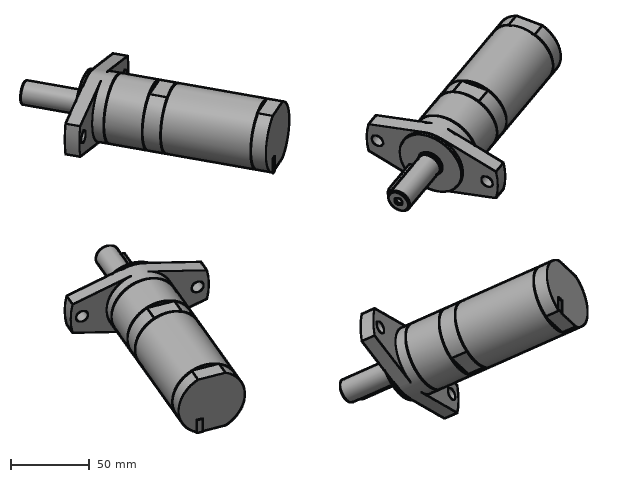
import cadquery as cq
import math

PILOT_START = 41.8
PLATE_START = 44.0
PLATE_END = 54.0
HOUSING_SEAM = 61.5
MIDDLE_FLATS_START = 88.0
MIDDLE_FLATS_END = 99.8
REAR_FLATS_START = 160.5
BODY_END = 171.0
OVERALL_LENGTH = 171.5

BODY_DIAMETER = 46.0
PILOT_DIAMETER = 45.0
ACROSS_FLATS = 41.8
SEAM_WIDTH = 0.5
SEAM_DEPTH = 0.2

PLATE_SPAN = 95.7
PLATE_TAPER_ANGLE = 15.0
BOLT_SPACING = 80.0
BOLT_HOLE_DIAMETER = 8.2

SHAFT_DIAMETER = 16.0
SHAFT_CHAMFER = 0.9
COLLAR_START = 39.8
COLLAR_CONE_END = 40.8
COLLAR_DIAMETER = 17.0
CLEARANCE_DIAMETER = 17.5

KEY_START = 3.8
KEY_LENGTH = 30.0
KEY_WIDTH = 5.0
KEY_TOP = 10.0

CENTRE_HOLE_DIAMETER = 4.0
CENTRE_HOLE_DEPTH = 10.3
COUNTERSINK_DIAMETER = 5.8
DRILL_TIP_ANGLE = 118.0

PAD_WIDTH = 4.1
PAD_CENTRE_Y = -8.4
PAD_TOP_Z = -10.6


def cylinder(start, end, diameter):
    """Round bar along the X axis."""
    return cq.Workplane("YZ", origin=(start, 0, 0)).circle(diameter / 2).extrude(end - start)


def revolve_about_x(profile):
    """Turn an (x, radius) outline about the X axis."""
    return cq.Workplane("XY").polyline(profile).close().revolve(360, (0, 0, 0), (1, 0, 0))


def box(x_range, y_range, z_range):
    """Block given by its limits along each axis."""
    size = [high - low for low, high in (x_range, y_range, z_range)]
    corner = (x_range[0], y_range[0], z_range[0])
    return cq.Workplane("XY").box(*size, centered=False).translate(corner)


def flats(start, end):
    """Material above and below a pair of parallel wrench flats."""
    radius = BODY_DIAMETER / 2
    slab = (ACROSS_FLATS / 2, BODY_DIAMETER)
    upper = box((start, end), (-radius, radius), slab)
    return upper.union(upper.mirror("XY"))


def seam_groove(start):
    """Shallow V groove around the body."""
    radius = BODY_DIAMETER / 2
    profile = [
        (start, radius),
        (start + SEAM_WIDTH / 2, radius - SEAM_DEPTH),
        (start + SEAM_WIDTH, radius),
    ]
    return revolve_about_x(profile)


def make_body():
    """Round body with wrench flats, seam grooves and a clearance recess around the shaft collar."""
    body = cylinder(PILOT_START, PLATE_START, PILOT_DIAMETER)
    body = body.union(cylinder(PLATE_START, BODY_END, BODY_DIAMETER))
    body = body.cut(cylinder(PILOT_START, PLATE_START, CLEARANCE_DIAMETER))
    body = body.cut(flats(MIDDLE_FLATS_START, MIDDLE_FLATS_END))
    body = body.cut(flats(REAR_FLATS_START, BODY_END))
    seam_starts = (
        HOUSING_SEAM,
        MIDDLE_FLATS_START - SEAM_WIDTH,
        MIDDLE_FLATS_END,
        REAR_FLATS_START,
    )
    for start in seam_starts:
        body = body.cut(seam_groove(start))
    return body


def make_plate():
    """Two-bolt plate whose tapered edges are tangent to the body."""
    radius = BODY_DIAMETER / 2
    end_radius = PLATE_SPAN / 2
    taper = math.radians(PLATE_TAPER_ANGLE)
    tangent = (radius * math.sin(taper), radius * math.cos(taper))
    along = math.sqrt(end_radius**2 - radius**2)
    corner = (
        tangent[0] + along * math.cos(taper),
        tangent[1] - along * math.sin(taper),
    )
    plate = (
        cq.Workplane("YZ", origin=(PLATE_START, 0, 0))
        .moveTo(-tangent[0], tangent[1])
        .lineTo(*tangent)
        .lineTo(*corner)
        .threePointArc((end_radius, 0), (corner[0], -corner[1]))
        .lineTo(tangent[0], -tangent[1])
        .lineTo(-tangent[0], -tangent[1])
        .lineTo(-corner[0], -corner[1])
        .threePointArc((-end_radius, 0), (-corner[0], corner[1]))
        .close()
        .extrude(PLATE_END - PLATE_START)
    )
    bolt_holes = (
        cq.Workplane("YZ", origin=(PLATE_START, 0, 0))
        .pushPoints([(-BOLT_SPACING / 2, 0), (BOLT_SPACING / 2, 0)])
        .circle(BOLT_HOLE_DIAMETER / 2)
        .extrude(PLATE_END - PLATE_START)
    )
    return plate.cut(bolt_holes)


def make_shaft():
    """Chamfered shaft that widens through a short cone into its collar."""
    radius = SHAFT_DIAMETER / 2
    collar_radius = COLLAR_DIAMETER / 2
    profile = [
        (0, 0),
        (0, radius - SHAFT_CHAMFER),
        (SHAFT_CHAMFER, radius),
        (COLLAR_START, radius),
        (COLLAR_CONE_END, collar_radius),
        (PLATE_START, collar_radius),
        (PLATE_START, 0),
    ]
    return revolve_about_x(profile)


def make_key():
    """Round-ended key lying along the shaft."""
    return (
        cq.Workplane("XZ")
        .center(KEY_START + KEY_LENGTH / 2, 0)
        .slot2D(KEY_LENGTH, KEY_WIDTH)
        .extrude(-KEY_TOP)
    )


def make_centre_hole():
    """Countersunk drilled hole with a conical bottom."""
    radius = CENTRE_HOLE_DIAMETER / 2
    mouth_radius = COUNTERSINK_DIAMETER / 2
    tip = radius / math.tan(math.radians(DRILL_TIP_ANGLE / 2))
    profile = [
        (0, 0),
        (0, mouth_radius),
        (mouth_radius - radius, radius),
        (CENTRE_HOLE_DEPTH, radius),
        (CENTRE_HOLE_DEPTH + tip, 0),
    ]
    return revolve_about_x(profile)


def make_pad():
    """Thin pad on the rear face, ending flush with the lower flat."""
    return box(
        (BODY_END, OVERALL_LENGTH),
        (PAD_CENTRE_Y - PAD_WIDTH / 2, PAD_CENTRE_Y + PAD_WIDTH / 2),
        (-ACROSS_FLATS / 2, PAD_TOP_Z),
    )


result = make_body().union(make_plate()).union(make_shaft()).union(make_key())
result = result.union(make_pad()).cut(make_centre_hole())